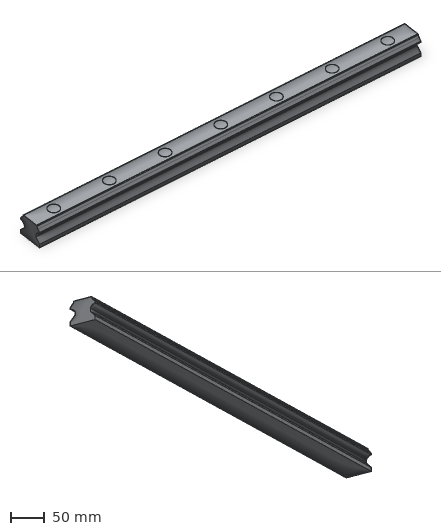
import cadquery as cq

length = 720.0
width = 45.0
height = 38.0
half_width = width / 2

base_side_height = 6.5
waist_half_width = 14.0
waist_bottom = base_side_height + half_width - waist_half_width
waist_top = 20.0
shoulder_bottom = 27.0
lower_groove_depth = 1.5

shoulder_top = 29.0
upper_groove_bottom = 33.0
upper_groove_bottom_half_width = 19.0
upper_groove_top = 37.5
upper_groove_top_half_width = 16.5
upper_groove_depth = 1.0
crown_half_width = 15.0

hole_count = 7
end_margin = 45.0
hole_pitch = (length - 2 * end_margin) / (hole_count - 1)
cap_diameter = 20.0
cap_recess = 0.35


def make_blank():
    """Rectangular bar with its base on Z = 0."""
    return cq.Workplane("XY").box(width, length, height, centered=(True, True, False))


def make_waist_cut():
    """Material removed below the +X shoulder, down to the base flange."""
    return (
        cq.Workplane("XZ")
        .moveTo(half_width, base_side_height)
        .lineTo(waist_half_width, waist_bottom)
        .lineTo(waist_half_width, waist_top)
        .sagittaArc((half_width, shoulder_bottom), lower_groove_depth)
        .close()
        .extrude(length / 2, both=True)
    )


def make_crown_cut():
    """Material removed above the +X shoulder, up to the crown."""
    return (
        cq.Workplane("XZ")
        .moveTo(half_width, shoulder_top)
        .lineTo(upper_groove_bottom_half_width, upper_groove_bottom)
        .sagittaArc((upper_groove_top_half_width, upper_groove_top), upper_groove_depth)
        .lineTo(crown_half_width, height)
        .lineTo(half_width, height)
        .close()
        .extrude(length / 2, both=True)
    )


def make_cap_recesses():
    """Shallow round recesses left above the hole plugs."""
    return (
        cq.Workplane("XY", origin=(0, 0, height - cap_recess))
        .rarray(7, hole_pitch, 1, hole_count)
        .circle(cap_diameter / 2)
        .extrude(cap_recess)
    )


result = make_blank()
for flank_cut in (make_waist_cut(), make_crown_cut()):
    result = result.cut(flank_cut).cut(flank_cut.mirror("YZ"))
result = result.cut(make_cap_recesses())